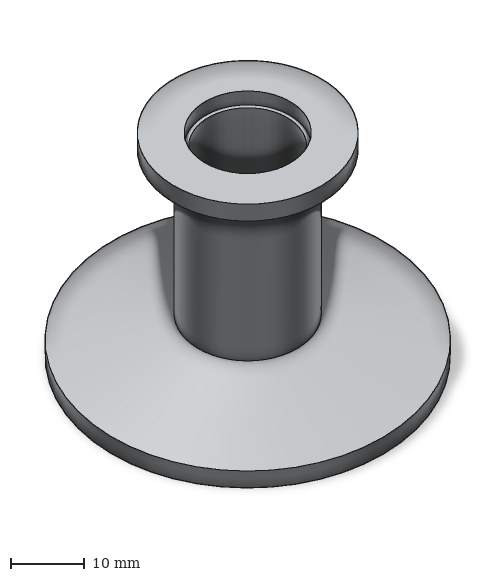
import cadquery as cq
import math

total_height = 40.0
base_diameter = 55.0
top_diameter = 30.0
tube_diameter = 20.0

rim_thickness = 3.0
cone_angle = 15.0

bore_diameter = 16.0
seat_diameter = 17.2
seat_depth = 2.5


def cone_height(flange_diameter):
    """Height over which a flange tapers from its rim to the tube."""
    radial_step = (flange_diameter - tube_diameter) / 2
    return radial_step * math.tan(math.radians(cone_angle))


def make_body():
    """Revolve the solid tube with its two tapered flanges."""
    base_radius = base_diameter / 2
    top_radius = top_diameter / 2
    tube_radius = tube_diameter / 2
    base_cone_top = rim_thickness + cone_height(base_diameter)
    top_rim_bottom = total_height - rim_thickness
    top_cone_bottom = top_rim_bottom - cone_height(top_diameter)
    profile = [
        (0, 0),
        (base_radius, 0),
        (base_radius, rim_thickness),
        (tube_radius, base_cone_top),
        (tube_radius, top_cone_bottom),
        (top_radius, top_rim_bottom),
        (top_radius, total_height),
        (0, total_height),
    ]
    return cq.Workplane("XZ").polyline(profile).close().revolve(360, (0, 0), (0, 1))


def make_bore():
    """Through bore together with the wider seat at its top end."""
    bore = cq.Workplane("XY").circle(bore_diameter / 2).extrude(total_height)
    seat = (
        cq.Workplane("XY", origin=(0, 0, total_height - seat_depth))
        .circle(seat_diameter / 2)
        .extrude(seat_depth)
    )
    return bore.union(seat)


result = make_body().cut(make_bore())